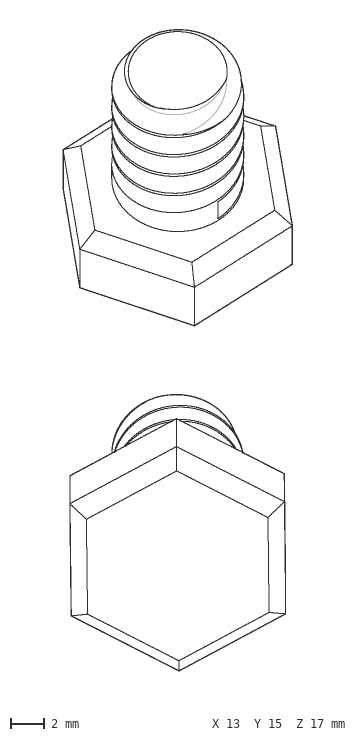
import cadquery as cq
import math

width_across_flats = 13.0
head_height = 6.0
head_chamfer = 1.0

overall_height = 17.0
major_diameter = 8.0
end_chamfer = 1.0
thread_start_height = 1.05

pitch = major_diameter / 4
flank_angle = math.radians(30)
sharp_height = pitch / (2 * math.tan(flank_angle))
crest_flat = pitch / 8
root_radius = sharp_height / 6
cutter_overshoot = pitch / 20

major_radius = major_diameter / 2
shank_length = overall_height - head_height
thread_start_z = head_height + thread_start_height


def make_head():
    corner_diameter = width_across_flats / math.cos(math.pi / 6)
    return (
        cq.Workplane("XY")
        .polygon(6, corner_diameter)
        .extrude(head_height)
        .rotate((0, 0, 0), (0, 0, 1), 30)
        .faces("<Z or >Z")
        .chamfer(head_chamfer)
    )


def make_thread_cutter():
    """V-shaped groove with a rounded root, swept up a right-handed helix from the +X side."""
    mouth_radius = major_radius + cutter_overshoot
    mouth_half_width = (pitch - crest_flat) / 2 + cutter_overshoot * math.tan(flank_angle)
    vertex_radius = mouth_radius - mouth_half_width / math.tan(flank_angle)

    arc_centre_radius = vertex_radius + root_radius / math.sin(flank_angle)
    root_bottom_radius = arc_centre_radius - root_radius
    tangent_radius = arc_centre_radius - root_radius * math.sin(flank_angle)
    tangent_half_width = root_radius * math.cos(flank_angle)

    profile = (
        cq.Workplane("XZ", origin=(0, 0, thread_start_z))
        .moveTo(mouth_radius, -mouth_half_width)
        .lineTo(tangent_radius, -tangent_half_width)
        .threePointArc((root_bottom_radius, 0), (tangent_radius, tangent_half_width))
        .lineTo(mouth_radius, mouth_half_width)
        .close()
    )
    helix_height = overall_height + pitch - thread_start_z
    helix = cq.Wire.makeHelix(pitch, helix_height, major_radius, center=cq.Vector(0, 0, thread_start_z))
    return profile.sweep(cq.Workplane(obj=helix), isFrenet=True)


def make_shank():
    blank_seam_angle = 90
    blank = (
        cq.Workplane("XY", origin=(0, 0, head_height))
        .circle(major_radius)
        .extrude(shank_length)
        .faces(">Z")
        .chamfer(end_chamfer)
        .rotate((0, 0, 0), (0, 0, 1), blank_seam_angle)
    )
    return blank.cut(make_thread_cutter())


head = make_head()
shank = make_shank()

result = cq.Compound.makeCompound([head.val(), *shank.vals()])